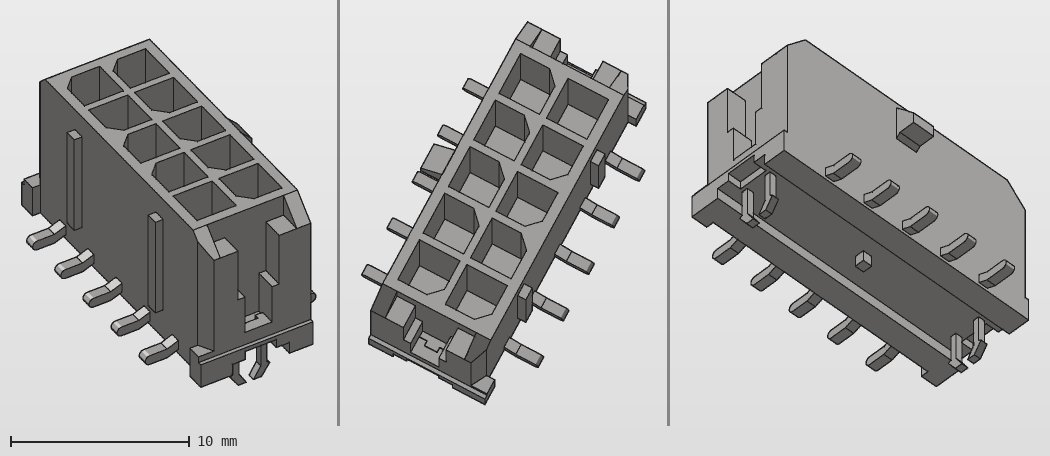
import cadquery as cq


BASE_LENGTH = 19.15
BASE_HEIGHT = 1.6
BODY_LENGTH = 18.65
BODY_WIDTH = 6.85
BODY_HEIGHT = 9.92
FRONT_LENGTH = 16.81
END_CHAMFER = 1.42
CORNER_CUT_WIDTH = 0.5
FOOT_HEIGHT = 2.01
FOOT_REACH = 0.52

half_base = BASE_LENGTH / 2
half_length = BODY_LENGTH / 2
half_front = FRONT_LENGTH / 2
half_width = BODY_WIDTH / 2
shoulder_height = BODY_HEIGHT - END_CHAMFER
end_wall_x = half_length - END_CHAMFER
front_reach_y = -half_width - FOOT_REACH
SIDES = (-1, 1)

COLUMNS = 5
PITCH = 3.0
CAVITY_SIZE = 2.57
CAVITY_KEY = 0.73
CAVITY_FLOOR = 2.49
BACK_ROW_KEYS = (-1, 1, 1, 1, 1)
FRONT_ROW_KEYS = (-1, 1, -1, -1, 0)

SHELF_WIDTH = 5.02
UPPER_SLOT_WIDTH = 2.7
UPPER_SLOT_FLOOR = 5.02
LOWER_SLOT_WIDTH = 1.78
LOWER_SLOT_FLOOR = CAVITY_FLOOR
CLIP_POCKET_DEPTH = 0.2
CLIP_POCKET_REACH = 0.4
CLIP_KEY_REACH = 0.3
CLIP_KEY_WIDTH = 0.8

CHANNEL_WIDTH = 3.75
CHANNEL_HEIGHT = 0.77
NOTCH_WIDTH = 2.03
NOTCH_HEIGHT = 1.35
NOTCH_DEPTH = 0.94
PEG_SIZE = 0.65

RIB_SPACING = 8.65
RIB_WIDTH = 0.77

LATCH_WIDTH = 1.57
LATCH_REACH = 1.38
LATCH_TOP = 9.54
LATCH_TIP_TOP = 8.15
LATCH_BOTTOM = 7.4
LATCH_GUSSET = 0.29

PIN_WIDTH = 0.65
PIN_THICKNESS = 0.63
PIN_SPAN = 11.2
PIN_SLOPE = 0.39
BACK_BEND_Y = 4.06
FRONT_BEND_Y = 4.17
PIN_EMBED = 0.2
pin_tip_y = PIN_SPAN / 2

CLIP_THICKNESS = 0.48
LEG_OUTER_Y = 1.11
LEG_INNER_Y = 0.7
BARB_Y = 1.3
BARB_TOP_Z = -1.07
BARB_Z = -1.2
TIP_OUTER_Y = 0.77
TIP_INNER_Y = 0.23
CLIP_TIP_Z = -2.0
CLIP_EMBED = 0.2
CLIP_ROOT_Z = NOTCH_HEIGHT + CLIP_EMBED


def block(x_range, y_range, z_range):
    """Axis-aligned box from its limits, given in either order."""
    (x0, x1), (y0, y1), (z0, z1) = (sorted(limits) for limits in (x_range, y_range, z_range))
    return cq.Workplane("XY").box(x1 - x0, y1 - y0, z1 - z0, centered=False).translate((x0, y0, z0))


def centred(width):
    """Limits of a span of the given width about zero."""
    return (-width / 2, width / 2)


def prism_along_x(points, x_start, length):
    """Extrude a (Y, Z) outline along +X."""
    return cq.Workplane("YZ").workplane(offset=x_start).polyline(points).close().extrude(length)


def make_housing():
    """Body with bevelled ends, wider base and front feet."""
    plan = (
        cq.Workplane("XY")
        .moveTo(-half_length, half_width)
        .lineTo(half_length, half_width)
        .lineTo(half_length, -half_width + CORNER_CUT_WIDTH)
        .lineTo(half_front, -half_width)
        .lineTo(-half_front, -half_width)
        .lineTo(-half_length, -half_width + CORNER_CUT_WIDTH)
        .close()
        .extrude(BODY_HEIGHT)
    )
    elevation = (
        cq.Workplane("XZ")
        .moveTo(-half_length, 0)
        .lineTo(half_length, 0)
        .lineTo(half_length, shoulder_height)
        .lineTo(end_wall_x, BODY_HEIGHT)
        .lineTo(-end_wall_x, BODY_HEIGHT)
        .lineTo(-half_length, shoulder_height)
        .close()
        .extrude(half_width, both=True)
    )
    housing = plan.intersect(elevation)
    housing = housing.union(block(centred(BASE_LENGTH), centred(BODY_WIDTH), (0, BASE_HEIGHT)))
    for side in SIDES:
        foot_y = (front_reach_y, -half_width + CORNER_CUT_WIDTH)
        housing = housing.union(block((side * half_front, side * half_length), foot_y, (0, FOOT_HEIGHT)))
        housing = housing.union(block((side * half_front, side * half_base), foot_y, (0, BASE_HEIGHT)))
    return housing


def make_end_slot(side):
    """Stepped slot in one end, with the clip pocket sunk into its floor."""
    slot_x = (side * end_wall_x, side * half_base)
    slot = block(slot_x, centred(SHELF_WIDTH), (shoulder_height, BODY_HEIGHT))
    slot = slot.union(block(slot_x, centred(UPPER_SLOT_WIDTH), (UPPER_SLOT_FLOOR, BODY_HEIGHT)))
    slot = slot.union(block(slot_x, centred(LOWER_SLOT_WIDTH), (LOWER_SLOT_FLOOR, BODY_HEIGHT)))
    pocket_z = (LOWER_SLOT_FLOOR - CLIP_POCKET_DEPTH, UPPER_SLOT_FLOOR)
    pocket_x = end_wall_x + CLIP_POCKET_REACH
    key_x = pocket_x + CLIP_KEY_REACH
    slot = slot.union(block((side * end_wall_x, side * pocket_x), centred(LOWER_SLOT_WIDTH), pocket_z))
    return slot.union(block((side * end_wall_x, side * key_x), centred(CLIP_KEY_WIDTH), pocket_z))


def make_cavity(x, y, key):
    """Square contact cavity, keyed at its front left (-1) or front right (1) corner."""
    cavity = block(centred(CAVITY_SIZE), centred(CAVITY_SIZE), (CAVITY_FLOOR, BODY_HEIGHT))
    if key < 0:
        cavity = cavity.edges("|Z and <X and <Y").chamfer(CAVITY_KEY)
    elif key > 0:
        cavity = cavity.edges("|Z and >X and <Y").chamfer(CAVITY_KEY)
    return cavity.translate((x, y, 0))


def make_latch():
    """Ramped hook on the back face."""
    tip_y = half_width + LATCH_REACH
    outline = [
        (half_width, LATCH_TOP),
        (tip_y, LATCH_TIP_TOP),
        (tip_y, LATCH_BOTTOM),
        (half_width + LATCH_GUSSET, LATCH_BOTTOM),
        (half_width, LATCH_BOTTOM - LATCH_GUSSET),
    ]
    return prism_along_x(outline, -LATCH_WIDTH / 2, LATCH_WIDTH)


def make_pin(bend_y):
    """Solder pin leaving the back face: sloped shank, flat tail and round tip."""
    root_y = half_width - PIN_EMBED
    root_z = (bend_y - root_y) * PIN_SLOPE
    tail_y = pin_tip_y - PIN_THICKNESS / 2
    return (
        cq.Workplane("YZ")
        .workplane(offset=-PIN_WIDTH / 2)
        .moveTo(root_y, root_z)
        .lineTo(bend_y, 0)
        .lineTo(tail_y, 0)
        .threePointArc((pin_tip_y, PIN_THICKNESS / 2), (tail_y, PIN_THICKNESS))
        .lineTo(bend_y, PIN_THICKNESS)
        .lineTo(root_y, root_z + PIN_THICKNESS)
        .close()
        .extrude(PIN_WIDTH)
    )


def make_clip(centre_x):
    """Pair of barbed board-lock legs centred on the given X."""
    outline = [
        (LEG_OUTER_Y, CLIP_ROOT_Z),
        (LEG_OUTER_Y, BARB_TOP_Z),
        (BARB_Y, BARB_Z),
        (TIP_OUTER_Y, CLIP_TIP_Z),
        (TIP_INNER_Y, CLIP_TIP_Z),
        (LEG_INNER_Y, BARB_Z),
        (LEG_INNER_Y, CLIP_ROOT_Z),
    ]
    leg = prism_along_x(outline, centre_x - CLIP_THICKNESS / 2, CLIP_THICKNESS)
    return leg.union(leg.mirror("XZ"))


result = make_housing()

result = result.cut(block(centred(BASE_LENGTH), centred(CHANNEL_WIDTH), (0, CHANNEL_HEIGHT)))
result = result.union(block(centred(PEG_SIZE), centred(PEG_SIZE), (0, NOTCH_HEIGHT)))

for side in SIDES:
    result = result.cut(make_end_slot(side))
    notch_x = (side * (half_base - NOTCH_DEPTH), side * half_base)
    result = result.cut(block(notch_x, centred(NOTCH_WIDTH), (0, NOTCH_HEIGHT)))
    rib_x = side * RIB_SPACING / 2
    rib = block(centred(RIB_WIDTH), (front_reach_y, -half_width), (FOOT_HEIGHT, shoulder_height))
    result = result.union(rib.translate((rib_x, 0, 0)))
    result = result.union(make_clip(side * (half_front - CLIP_THICKNESS / 2)))

result = result.union(make_latch())

back_pin = make_pin(BACK_BEND_Y)
front_pin = make_pin(FRONT_BEND_Y).mirror("XZ")
for column in range(COLUMNS):
    x = (column - (COLUMNS - 1) / 2) * PITCH
    result = result.cut(make_cavity(x, PITCH / 2, BACK_ROW_KEYS[column]))
    result = result.cut(make_cavity(x, -PITCH / 2, FRONT_ROW_KEYS[column]))
    result = result.union(back_pin.translate((x, 0, 0)))
    result = result.union(front_pin.translate((x, 0, 0)))